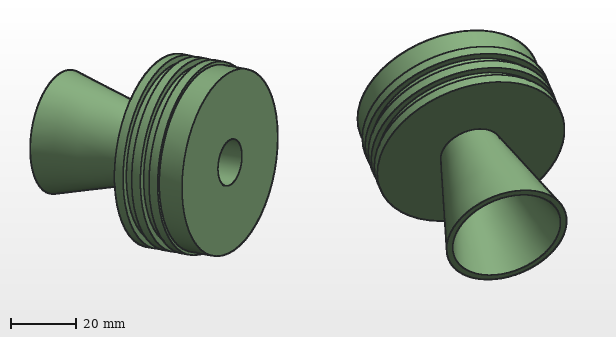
import cadquery as cq

total_length = 59.45
horn_length = 36.1
rib_width = 3.05
rib_count = 3

rib_diameter = 60.0
groove_diameter = 56.0
rear_diameter = 58.0

mouth_diameter = 38.5
throat_diameter = 19.45
mouth_bore_diameter = 34.55
bore_diameter = 14.5

pitch = 2 * rib_width
rear_start = horn_length + (rib_count - 1) * pitch + rib_width


def cylinder(start, end, diameter):
    """Solid cylinder along X between two positions."""
    return cq.Workplane("YZ", origin=(start, 0, 0)).circle(diameter / 2).extrude(end - start)


def cone(start, end, start_diameter, end_diameter):
    """Solid truncated cone along X between two positions."""
    profile = [
        (start, 0),
        (start, start_diameter / 2),
        (end, end_diameter / 2),
        (end, 0),
    ]
    return cq.Workplane("XY").polyline(profile).close().revolve(360, (0, 0, 0), (1, 0, 0))


body = cylinder(horn_length, total_length, groove_diameter)
for index in range(rib_count):
    rib_start = horn_length + index * pitch
    body = body.union(cylinder(rib_start, rib_start + rib_width, rib_diameter))
body = body.union(cylinder(rear_start, total_length, rear_diameter))

body = body.union(cone(0, horn_length, mouth_diameter, throat_diameter))

body = body.cut(cone(0, horn_length, mouth_bore_diameter, bore_diameter))
result = body.cut(cylinder(horn_length, total_length, bore_diameter))